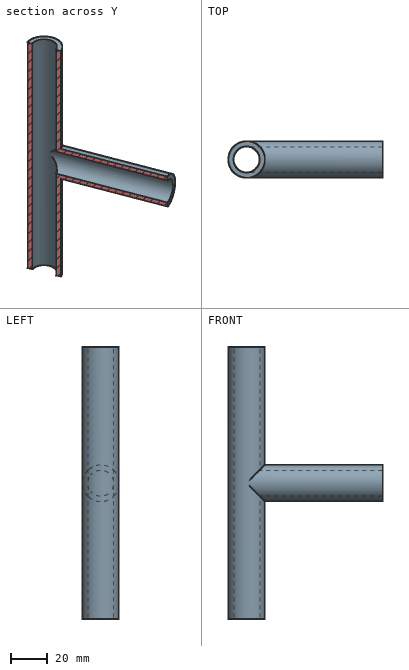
import cadquery as cq

run_length = 148.0
outer_diameter = 20.0
bore_diameter = 14.0
branch_reach = run_length / 2


def tee_cylinders(diameter):
    """Vertical run centred on the origin, joined by a branch along +X."""
    radius = diameter / 2
    run = cq.Workplane("XY").circle(radius).extrude(run_length / 2, both=True)
    branch = cq.Workplane("YZ").circle(radius).extrude(branch_reach)
    return run.union(branch)


result = tee_cylinders(outer_diameter).cut(tee_cylinders(bore_diameter))